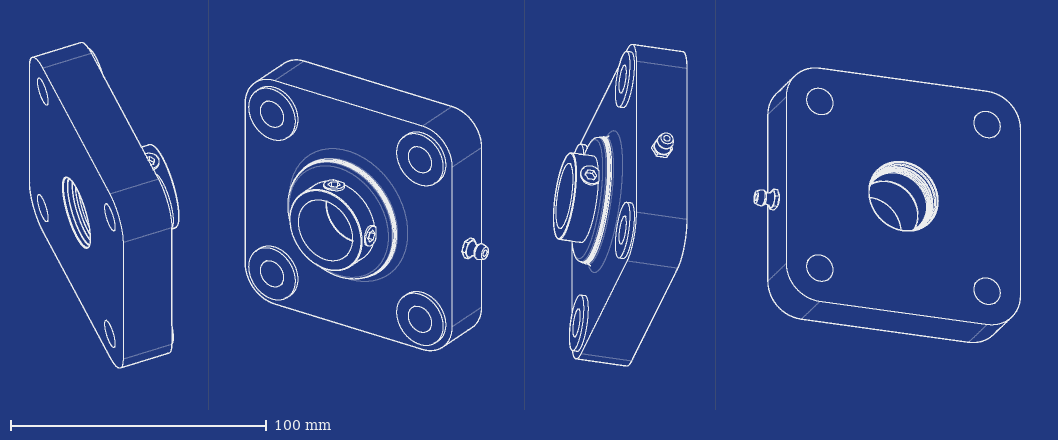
import cadquery as cq
import math


total_width = 107.0
total_depth = 36.6

plate_side = 98.0
plate_depth = 20.5
bolt_pitch = 70.0
bolt_hole_diameter = 11.0
boss_radius = 11.0
boss_height = 1.8
corner_radius = (plate_side - bolt_pitch) / 2

hub_radius = 25.1
hub_fillet = 2.9
hub_rim_width = 0.7
hub_shoulder_radius = 24.6
hub_shoulder_width = 0.5
hub_rim_end = plate_depth + hub_fillet + hub_rim_width
hub_end = hub_rim_end + hub_shoulder_width

mouth_radius = 14.5
mouth_chamfer = 0.3
mouth_steps = [
    (mouth_radius - mouth_chamfer, 1.9),
    (13.7, 3.7),
    (13.3, 4.9),
    (13.0, 6.0),
]

insert_start = mouth_steps[-1][1]
sleeve_radius = 17.1
collar_chamfer = 0.3
bore_radius = 12.5
bore_lead_radius = 12.8
bore_lead_depth = 1.1
bore_lead_chamfer = 0.4
relief_radius = bore_lead_radius
relief_start = 17.4
disc_radius = 24.6
disc_end = 27.4
disc_fillet = 1.1
bead_radius = 24.9
bead_width = 0.3
bead_bevel = 0.3

screw_radius = 4.1
screw_reach = 17.7
screw_from_end = 6.0
socket_flats = 4.1
socket_depth = 2.1
screw_y = total_depth - screw_from_end

nipple_y = 10.5
nipple_z = -4.5
nipple_reach = total_width - plate_side
hex_flats = 7.1
hex_start = 0.4
hex_end = 2.1
shank_radius = 3.0
flare_radius = 3.3
neck_radius = 2.2
neck_narrowest = 4.1
neck_end = 5.2
neck_end_radius = 2.4
head_back_radius = 2.7
head_radius = 3.2
head_widest = 6.1
head_shoulder_radius = 3.0
head_face_radius = 2.5
head_face = 8.7
tip_radius = 1.3


def across_corners(flats):
    """Distance across the corners of a hexagon with the given distance across flats."""
    return flats / math.cos(math.pi / 6)


def arc_inset(radius):
    """Distance from a square corner to the middle of its fillet arc, along either side."""
    return radius * (1 - math.sqrt(0.5))


def disc_along_y(radius, start, end):
    """Solid cylinder on the shaft axis from Y = start to Y = end."""
    return cq.Workplane("XZ", origin=(0, start, 0)).circle(radius).extrude(start - end)


def revolve_about_y(profile):
    """Turn a closed (radius, Y) profile in the XY plane about the shaft axis."""
    return profile.close().revolve(360, (0, 0, 0), (0, 1, 0))


def at_bolt_positions(start):
    """Workplane at Y = start, facing -Y, with a point at each of the four bolt positions."""
    plane = cq.Workplane("XZ", origin=(0, start, 0))
    return plane.rect(bolt_pitch, bolt_pitch, forConstruction=True).vertices()


def make_hub():
    """Round hub that flares into the plate and carries a narrower shoulder at its end."""
    fillet_end = plate_depth + hub_fillet
    inset = arc_inset(hub_fillet)
    return revolve_about_y(
        cq.Workplane("XY")
        .moveTo(0, plate_depth)
        .lineTo(hub_radius + hub_fillet, plate_depth)
        .threePointArc(
            (hub_radius + inset, plate_depth + inset),
            (hub_radius, fillet_end),
        )
        .lineTo(hub_radius, hub_rim_end)
        .lineTo(hub_shoulder_radius, hub_rim_end)
        .lineTo(hub_shoulder_radius, hub_end)
        .lineTo(0, hub_end)
    )


def make_mouth_cut():
    """Chamfered and stepped opening in the mounting face."""
    profile = (
        cq.Workplane("XY")
        .moveTo(0, 0)
        .lineTo(mouth_radius, 0)
    )
    step_start = mouth_chamfer
    for step_radius, step_end in mouth_steps:
        profile = profile.lineTo(step_radius, step_start).lineTo(step_radius, step_end)
        step_start = step_end
    return revolve_about_y(profile.lineTo(0, step_start))


def make_housing():
    plate = (
        cq.Workplane("XZ")
        .rect(plate_side, plate_side)
        .extrude(-plate_depth)
        .edges("|Y")
        .fillet(corner_radius)
    )
    bosses = at_bolt_positions(plate_depth).circle(boss_radius).extrude(-boss_height)
    bolt_holes = at_bolt_positions(0).circle(bolt_hole_diameter / 2).extrude(-(plate_depth + boss_height))
    sleeve_seat = disc_along_y(sleeve_radius, insert_start, hub_end)
    return plate.union(bosses).union(make_hub()).cut(bolt_holes).cut(make_mouth_cut()).cut(sleeve_seat)


def make_sealing_disc():
    """Disc with a bead round its hub side and a rounded outer rim."""
    bead_start = hub_end + bead_bevel
    bead_end = bead_start + bead_width
    inset = arc_inset(disc_fillet)
    return revolve_about_y(
        cq.Workplane("XY")
        .moveTo(0, hub_end)
        .lineTo(hub_shoulder_radius, hub_end)
        .lineTo(bead_radius, bead_start)
        .lineTo(bead_radius, bead_end)
        .lineTo(disc_radius, bead_end + bead_bevel)
        .lineTo(disc_radius, disc_end - disc_fillet)
        .threePointArc(
            (disc_radius - inset, disc_end - inset),
            (disc_radius - disc_fillet, disc_end),
        )
        .lineTo(0, disc_end)
    )


def make_bore_cut():
    """Shaft bore with a wider, chamfered lead-in and a relief over its collar half."""
    lead_end = insert_start + bore_lead_depth
    return revolve_about_y(
        cq.Workplane("XY")
        .moveTo(0, insert_start)
        .lineTo(bore_lead_radius, insert_start)
        .lineTo(bore_lead_radius, lead_end)
        .lineTo(bore_radius, lead_end + bore_lead_chamfer)
        .lineTo(bore_radius, relief_start)
        .lineTo(relief_radius, relief_start)
        .lineTo(relief_radius, total_depth)
        .lineTo(0, total_depth)
    )


def add_set_screw(insert, direction):
    """Add a screw end with a hexagon socket that faces along the given radial direction."""
    outer_plane = cq.Plane(
        origin=(direction[0] * screw_reach, screw_y, direction[2] * screw_reach),
        xDir=(0, 1, 0),
        normal=direction,
    )
    screw_length = screw_reach - bore_lead_radius
    screw = cq.Workplane(outer_plane).circle(screw_radius).extrude(-screw_length)
    socket = cq.Workplane(outer_plane).polygon(6, across_corners(socket_flats)).extrude(-socket_depth)
    return insert.union(screw).cut(socket)


def make_insert():
    sleeve = disc_along_y(sleeve_radius, insert_start, total_depth).faces(">Y").chamfer(collar_chamfer)
    insert = sleeve.union(make_sealing_disc())
    for direction in [(-1, 0, 0), (0, 0, 1)]:
        insert = add_set_screw(insert, direction)
    return insert.cut(make_bore_cut())


def make_nipple():
    """Shank, hexagon and turned head, built outwards along -X from the plate's side."""
    base_plane = cq.Plane(
        origin=(-plate_side / 2, nipple_y, nipple_z),
        xDir=(0, 1, 0),
        normal=(-1, 0, 0),
    )
    hexagon = (
        cq.Workplane(base_plane)
        .workplane(offset=hex_start)
        .polygon(6, across_corners(hex_flats))
        .extrude(hex_end - hex_start)
    )
    turned_plane = cq.Plane(origin=base_plane.origin, xDir=(0, 1, 0), normal=(0, 0, 1))
    head_middle = (head_widest + head_face) / 2
    tip_height = nipple_reach - head_face
    tip_sphere_radius = (tip_radius**2 + tip_height**2) / (2 * tip_height)
    turned = (
        cq.Workplane(turned_plane)
        .moveTo(0, 0)
        .lineTo(shank_radius, 0)
        .lineTo(shank_radius, hex_start)
        .lineTo(flare_radius, hex_end)
        .threePointArc((neck_radius, neck_narrowest), (neck_end_radius, neck_end))
        .lineTo(head_back_radius, neck_end)
        .lineTo(head_radius, head_widest)
        .threePointArc((head_shoulder_radius, head_middle), (head_face_radius, head_face))
        .lineTo(tip_radius, head_face)
        .radiusArc((0, nipple_reach), -tip_sphere_radius)
        .close()
        .revolve(360, (0, 0, 0), (0, 1, 0))
    )
    return hexagon.union(turned)


housing = make_housing().solids()
bearing_insert = make_insert().solids()
nipple = make_nipple().solids()

result = cq.Compound.makeCompound([housing.val(), bearing_insert.val(), nipple.val()])